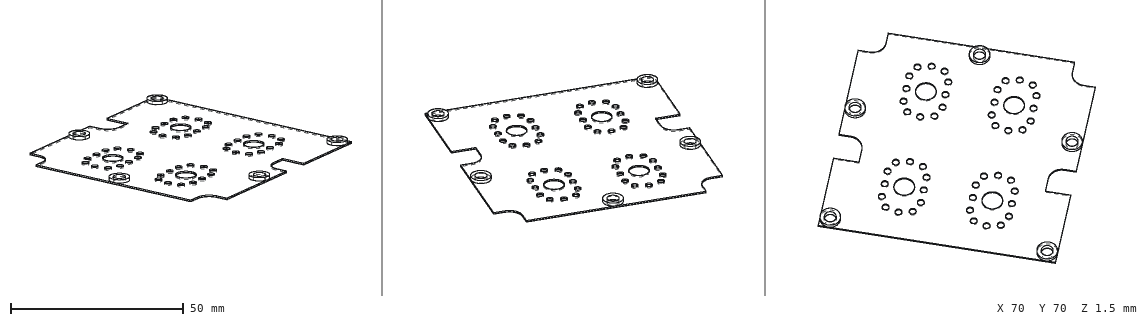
import cadquery as cq

PLATE_SIZE = 70.0
PLATE_THICKNESS = 0.5
HALF_SIZE = PLATE_SIZE / 2

NOTCH_DEPTH = 7.5
NOTCH_RADIUS = 4.0
SIDE_NOTCH_TOP_Y = 11.0
SIDE_NOTCH_BOTTOM_Y = 2.5

BOSS_DIAMETER = 6.0
BOSS_HEIGHT = 1.0
MOUNT_HOLE_DIAMETER = 3.5
BOSS_REACH = HALF_SIZE - BOSS_DIAMETER / 2
MIDDLE_BOSS_Y = -7.0
BOSS_CENTERS = [
    (-BOSS_REACH, BOSS_REACH),
    (BOSS_REACH, BOSS_REACH),
    (-BOSS_REACH, MIDDLE_BOSS_Y),
    (BOSS_REACH, MIDDLE_BOSS_Y),
    (0, -BOSS_REACH),
]

CLUSTER_X = 13.0
CLUSTER_Y = 17.0
CENTER_HOLE_DIAMETER = 6.0
RING_HOLE_DIAMETER = 2.0
RING_END_Y = 9.0
RING_SHOULDER_X = 4.0
RING_SHOULDER_Y = 8.0
RING_SIDE_X = 5.75
RING_SIDE_PITCH = 4.5


def make_cutout(bottom_y, top_y, rounded_edge):
    """Block removed from the +X edge, with one of its inner upright edges rounded."""
    return (
        cq.Workplane("XY", origin=(HALF_SIZE - NOTCH_DEPTH, bottom_y, 0))
        .rect(NOTCH_DEPTH, top_y - bottom_y, centered=False)
        .extrude(PLATE_THICKNESS)
        .edges("|Z")
        .edges("<X")
        .edges(rounded_edge)
        .fillet(NOTCH_RADIUS)
    )


def make_plate():
    """Square sheet with a notch in each side and a cut-out at each -Y corner."""
    plate = cq.Workplane("XY").rect(PLATE_SIZE, PLATE_SIZE).extrude(PLATE_THICKNESS)
    side_notch = make_cutout(SIDE_NOTCH_BOTTOM_Y, SIDE_NOTCH_TOP_Y, "<Y")
    corner_cutout = make_cutout(-HALF_SIZE, -HALF_SIZE + NOTCH_DEPTH, ">Y")
    for cutout in (side_notch, corner_cutout):
        plate = plate.cut(cutout).cut(cutout.mirror("YZ"))
    return plate


def add_bosses(plate):
    """Round bosses on the top face, each with a hole through boss and plate."""
    height = PLATE_THICKNESS + BOSS_HEIGHT
    bosses = cq.Workplane("XY").pushPoints(BOSS_CENTERS).circle(BOSS_DIAMETER / 2).extrude(height)
    holes = cq.Workplane("XY").pushPoints(BOSS_CENTERS).circle(MOUNT_HOLE_DIAMETER / 2).extrude(height)
    return plate.union(bosses).cut(holes)


def ring_offsets():
    """Ring hole positions relative to the cluster centre."""
    offsets = [(0, -RING_END_Y), (0, RING_END_Y)]
    for side in (-1, 1):
        for end in (-1, 1):
            offsets.append((side * RING_SHOULDER_X, end * RING_SHOULDER_Y))
        for step in (-1, 0, 1):
            offsets.append((side * RING_SIDE_X, step * RING_SIDE_PITCH))
    return offsets


def cut_hole_clusters(body):
    """Four clusters of through holes, mirrored about both centre planes."""
    for center_x in (-CLUSTER_X, CLUSTER_X):
        for center_y in (-CLUSTER_Y, CLUSTER_Y):
            cluster = cq.Workplane("XY", origin=(center_x, center_y, 0))
            center_hole = cluster.circle(CENTER_HOLE_DIAMETER / 2).extrude(PLATE_THICKNESS)
            ring_holes = (
                cluster.pushPoints(ring_offsets())
                .circle(RING_HOLE_DIAMETER / 2)
                .extrude(PLATE_THICKNESS)
            )
            body = body.cut(center_hole).cut(ring_holes)
    return body


result = cut_hole_clusters(add_bosses(make_plate()))